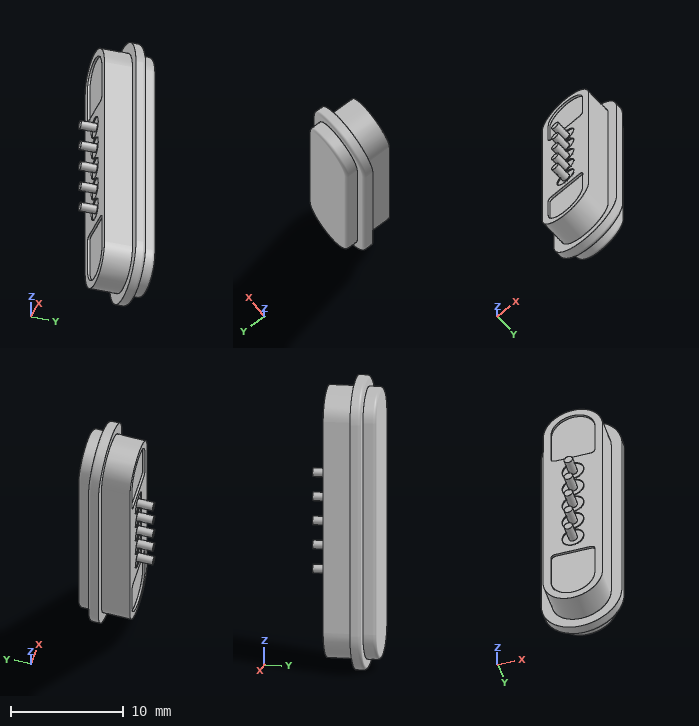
import cadquery as cq

flange_length = 26.7
flange_width = 7.5
flange_thickness = 1.0

flange_overhang = 1.0
body_length = flange_length - 2 * flange_overhang
body_width = flange_width - 2 * flange_overhang
body_front_height = 2.62
body_back_height = 1.2
back_edge_radius = 0.3

recess_wall = 0.72
recess_width = body_width - 2 * recess_wall
recess_outer_z = body_length / 2 - recess_wall
recess_inner_z = 6.17
recess_corner_radius = 0.4
recess_depth = 0.21

pin_count = 5
pin_pitch = 2.2
pin_diameter = 0.8
pin_protrusion = 1.4
seat_diameter = 2.0
seat_depth = 0.1

total_depth = pin_protrusion + body_front_height + flange_thickness + body_back_height
pin_tip_y = -total_depth / 2
body_front_y = pin_tip_y + pin_protrusion
flange_front_y = body_front_y + body_front_height
flange_back_y = flange_front_y + flange_thickness
body_back_y = flange_back_y + body_back_height


def plane_at(y):
    """Workplane at the given Y, with local axes X and Z and its normal toward -Y."""
    return cq.Workplane("XZ", origin=(0, y, 0))


def rounded_bar(length, width, front_y, back_y):
    """Upright bar with semicircular ends and a rounded back edge."""
    bar = plane_at(back_y).slot2D(length, width, 90).extrude(back_y - front_y)
    return bar.faces(">Y").edges().fillet(back_edge_radius)


def end_recess():
    """Cutter for the upper recess: round at the end, small corners toward the pins."""
    half_width = recess_width / 2
    arc_start_z = recess_outer_z - half_width
    cutter = (
        plane_at(body_front_y + recess_depth)
        .moveTo(-half_width, recess_inner_z)
        .lineTo(half_width, recess_inner_z)
        .lineTo(half_width, arc_start_z)
        .threePointArc((0, recess_outer_z), (-half_width, arc_start_z))
        .close()
        .extrude(recess_depth)
    )
    inner_corners = cutter.faces("<Z").edges("|Y")
    return inner_corners.fillet(recess_corner_radius)


def cylinders(diameter, front_y, back_y):
    """One cylinder along Y at every pin position."""
    return (
        plane_at(back_y)
        .rarray(0.27, pin_pitch, 1, pin_count)
        .circle(diameter / 2)
        .extrude(back_y - front_y)
    )


body = rounded_bar(body_length, body_width, body_front_y, body_back_y)
flange = rounded_bar(flange_length, flange_width, flange_front_y, flange_back_y)
housing = body.union(flange)

upper_recess = end_recess()
lower_recess = upper_recess.mirror("XY")
housing = housing.cut(upper_recess).cut(lower_recess)

seat_floor_y = body_front_y + seat_depth
housing = housing.cut(cylinders(seat_diameter, body_front_y, seat_floor_y))

pins = cylinders(pin_diameter, pin_tip_y, flange_front_y)
result = housing.union(pins)